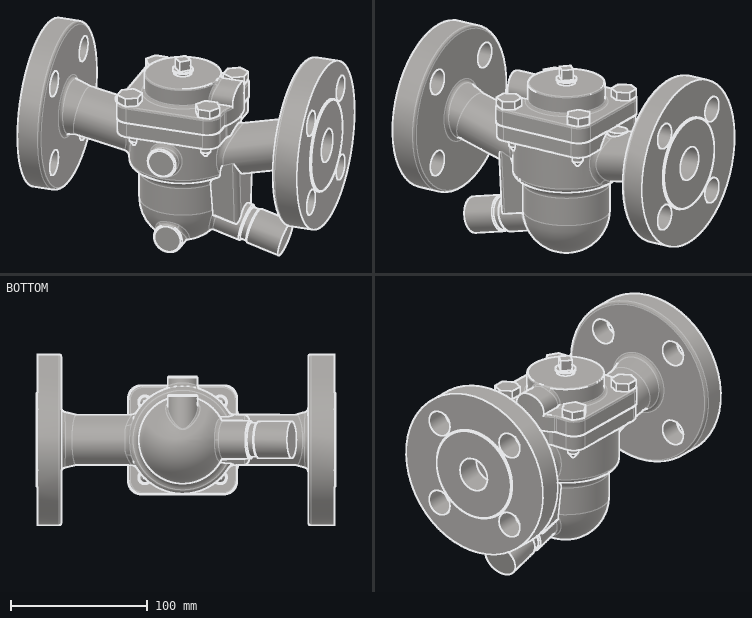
import cadquery as cq
import math


seam_tolerance = 0.001

flange_dia = 125
flange_edge_round = 2
flange_hole_dia = 19
flange_hole_circle = 90
raised_face_dia = 69
raised_face_height = 1
raised_face_chamfer = 0.8
bore_dia = 25
bore_depth = 20
inlet_face_x = -107
outlet_face_x = 112
inlet_flange_thickness = 18.6
outlet_flange_thickness = 20.4

neck_dia = 37
flare_dia = 42
flare_root_round = 3
neck_body_round = 5
inlet_slope = 10
outlet_slope = 15
inlet_flare_length = 10.8
outlet_flare_length = 12
outlet_axis_start = 94.3

upper_radius = 39.3
lower_radius = 32
shoulder_top_z = -27.5
shoulder_bottom_z = -37.5
shoulder_round_share = 0.4
dome_center_z = -59

body_flange_bottom_z = 1
split_z = 13
cover_top_z = 26
cover_width = 80
body_flange_width = 79
corner_radius = 10
plate_edge_round = 1.2
lobe_half_width = 22
cover_lobe_radius = 45
body_lobe_radius = 42.7
lobe_side_round = 4

cap_dia = 56.5
cap_top_z = 40.7
cap_edge_round = 0.8
cap_root_round = 2
screen_boss_dia = 25
screen_boss_drop = 0.7
stem_collar_dia = 13.2
stem_lip_dia = 15
stem_lip_bottom_z = 43
stem_lip_top_z = 44
stem_square_side = 8.5
stem_top_z = 52

head_offset = 30.3
head_width = 16
head_height = 6.3
bolt_dia = 8
bolt_seat_dia = 10
bolt_seat_z = -0.7
bolt_tip_dia = 2
bolt_offset = 27.5
bolt_straight_end_z = -5.6
bolt_tip_z = -9.6

plug_dia = 22
plug_edge_chamfer = 1
plug_root_round = 2.5
upper_plug_z = -12
upper_plug_face_y = -46.5
drain_plug_z = -79
drain_plug_face_y = -33

stub_slope = 15
stub_dia = 28
stub_root_round = 3
stub_length = 52
groove_dia = 25
groove_end = 56.5
groove_flank_chamfer = 1
drain_pipe_dia = 27
drain_pipe_end = 82.5

rib_end_x = 48.9
rib_top_z = -15
rib_bottom_z = -68.7
rib_top_half_width = 18.3
rib_bottom_half_width = 14
rib_corner_round = 4

tab_width = 12.8
tab_end_x = -52
tab_thickness = 4


def rod(dia, start, end, origin, direction):
    """Cylinder along a direction, between two distances from the origin."""
    axis = cq.Vector(*direction).normalized()
    base = cq.Vector(*origin) + axis * start
    return cq.Workplane(obj=cq.Solid.makeCylinder(dia / 2, end - start, base, axis))


def disc(dia, bottom_z, top_z):
    return cq.Workplane("XY").workplane(offset=bottom_z).circle(dia / 2).extrude(top_z - bottom_z)


def lies_on(edge, part):
    """True if the middle of the edge lies on the surface of the part."""
    middle = cq.Vertex.makeVertex(*edge.positionAt(0.5).toTuple())
    return any(middle.distance(shell) < seam_tolerance for shell in part.val().Shells())


def blend(base, part, radius):
    """Join a part to the base and round the seam between them."""
    joined = base.union(part)
    seam = [edge for edge in joined.edges().vals() if lies_on(edge, base) and lies_on(edge, part)]
    return joined.newObject(seam).fillet(radius)


def pipe_flange(side, face_x, thickness):
    """Drilled flange with a raised face; side is -1 for the inlet and +1 for the outlet."""
    disc_length = thickness - raised_face_height
    inner_x = face_x - side * thickness
    outwards = (side, 0, 0)
    inner_face, outer_face = ("<X", ">X") if side > 0 else (">X", "<X")
    flange = rod(flange_dia, 0, disc_length, (inner_x, 0, 0), outwards)
    flange = flange.faces(inner_face).edges().fillet(flange_edge_round)
    raised_face = rod(raised_face_dia, disc_length / 2, thickness, (inner_x, 0, 0), outwards)
    flange = flange.union(raised_face.faces(outer_face).edges().chamfer(raised_face_chamfer))
    hole_offset = flange_hole_circle / 2 * math.sin(math.radians(45))
    for y in (-hole_offset, hole_offset):
        for z in (-hole_offset, hole_offset):
            flange = flange.cut(rod(flange_hole_dia, 0, thickness, (inner_x, y, z), outwards))
    return flange


def flange_bore(side, face_x):
    return rod(bore_dia, 0, bore_depth, (face_x, 0, 0), (-side, 0, 0))


def neck_direction(side, slope):
    """Unit direction of a neck, from its flange down to the body axis."""
    angle = math.radians(slope)
    return cq.Vector(-side * math.cos(angle), 0, -math.sin(angle))


def neck_pipe(side, axis_start_x, slope, flare_length):
    direction = neck_direction(side, slope)
    return rod(neck_dia, flare_length, abs(axis_start_x), (axis_start_x, 0, 0), direction.toTuple())


def neck_flare(side, flange_inner_x, axis_start_x, slope, flare_length):
    """Tapered transition from the flange to the sloping neck."""
    direction = neck_direction(side, slope)
    neck_start = cq.Vector(axis_start_x, 0, 0) + direction * flare_length
    wide = cq.Wire.makeCircle(flare_dia / 2, cq.Vector(flange_inner_x, 0, 0), cq.Vector(-side, 0, 0))
    narrow = cq.Wire.makeCircle(neck_dia / 2, neck_start, direction)
    return cq.Workplane(obj=cq.Solid.makeLoft([wide, narrow], True))


def body_of_revolution():
    """Cylinder, S-shaped shoulder, smaller cylinder and hemispherical dome."""
    drop = shoulder_top_z - shoulder_bottom_z
    step = upper_radius - lower_radius
    turn = 2 * math.atan2(step, drop)
    convex_radius = shoulder_round_share * drop / math.sin(turn)
    joint = (
        upper_radius - convex_radius * (1 - math.cos(turn)),
        shoulder_top_z - convex_radius * math.sin(turn),
    )
    diagonal = math.sin(math.radians(45)) * lower_radius
    profile = (
        cq.Workplane("XZ")
        .moveTo(0, split_z)
        .lineTo(upper_radius, split_z)
        .lineTo(upper_radius, shoulder_top_z)
        .tangentArcPoint(joint, relative=False)
        .tangentArcPoint((lower_radius, shoulder_bottom_z), relative=False)
        .lineTo(lower_radius, dome_center_z)
        .threePointArc((diagonal, dome_center_z - diagonal), (0, dome_center_z - lower_radius))
        .close()
    )
    return profile.revolve(360, (0, 0, 0), (0, 1, 0))


def square_plate(width, lobe_radius, bottom_z, top_z):
    """Rounded square plate with a round lobe on its +X side."""
    height = top_z - bottom_z
    level = cq.Workplane("XY").workplane(offset=bottom_z)
    plate = level.rect(width, width).extrude(height).edges("|Z").fillet(corner_radius)
    lobe_band = level.center(lobe_radius / 2, 0).rect(lobe_radius, 2 * lobe_half_width).extrude(height)
    lobe = level.circle(lobe_radius).extrude(height).intersect(lobe_band)
    plate = plate.union(lobe)
    reach = width / 2 + 1
    sides = cq.selectors.BoxSelector((width / 2 - 1, -reach / 1.5, bottom_z), (reach, reach / 1.5, top_z))
    return plate.edges("|Z").edges(sides).fillet(lobe_side_round)


def body_flange():
    plate = square_plate(body_flange_width, body_lobe_radius, body_flange_bottom_z, split_z)
    return plate.faces("<Z").edges().fillet(plate_edge_round)


def cover():
    """Cover plate with the round cap and the screen holder boss."""
    plate = square_plate(cover_width, cover_lobe_radius, split_z, cover_top_z)
    plate = plate.faces(">Z").edges().fillet(plate_edge_round)
    screen_axis_z = cap_top_z - screen_boss_drop - screen_boss_dia / 2
    screen_boss = rod(screen_boss_dia, 0, cover_lobe_radius + 1, (0, 0, screen_axis_z), (1, 0, 0))
    screen_boss = screen_boss.intersect(disc(2 * cover_lobe_radius, split_z, cap_top_z))
    cap = disc(cap_dia, split_z, cap_top_z)
    cap = cap.faces(">Z").edges().fillet(cap_edge_round)
    return blend(plate.union(screen_boss), cap, cap_root_round)


def stem():
    collar = disc(stem_collar_dia, cover_top_z, stem_lip_bottom_z)
    lip = disc(stem_lip_dia, stem_lip_bottom_z, stem_lip_top_z)
    square = (
        cq.Workplane("XY")
        .workplane(offset=stem_lip_bottom_z)
        .transformed(rotate=(0, 0, 45))
        .rect(stem_square_side, stem_square_side)
        .extrude(stem_top_z - stem_lip_bottom_z)
    )
    return collar.union(lip).union(square)


def bolt(x_side, y_side):
    """Hexagon head on the cover, with a seat and a pointed bolt end below the body flange."""
    corner_turn = 90 if x_side * y_side < 0 else 0
    head = (
        cq.Workplane("XY")
        .workplane(offset=cover_top_z)
        .center(x_side * head_offset, y_side * head_offset)
        .transformed(rotate=(0, 0, corner_turn))
        .polygon(6, head_width, circumscribed=True)
        .extrude(head_height)
    )
    end = (
        cq.Workplane("XZ")
        .moveTo(0, split_z)
        .lineTo(bolt_dia / 2, split_z)
        .lineTo(bolt_dia / 2, bolt_straight_end_z)
        .lineTo(bolt_tip_dia / 2, bolt_tip_z)
        .lineTo(0, bolt_tip_z)
        .close()
        .revolve(360, (0, 0, 0), (0, 1, 0))
        .translate((x_side * bolt_offset, y_side * bolt_offset, 0))
    )
    seat = disc(bolt_seat_dia, bolt_seat_z, split_z)
    return head.union(end).union(seat.translate((x_side * bolt_offset, y_side * bolt_offset, 0)))


def front_plug(z, face_y):
    plug = rod(plug_dia, 0, -face_y, (0, 0, z), (0, -1, 0))
    return plug.faces("<Y").edges().chamfer(plug_edge_chamfer)


def drain_stub():
    """Stub, sealing groove and pipe end on one axis from the dome centre."""
    angle = math.radians(stub_slope)
    direction = (math.cos(angle), 0, -math.sin(angle))
    origin = (0, 0, dome_center_z)
    stub = rod(stub_dia, 0, stub_length, origin, direction)
    stub = stub.faces(">X").edges().chamfer(groove_flank_chamfer)
    groove = rod(groove_dia, 0, groove_end, origin, direction)
    pipe = rod(drain_pipe_dia, groove_end, drain_pipe_end, origin, direction)
    pipe = pipe.faces("<X").edges().chamfer(groove_flank_chamfer)
    return stub.union(groove).union(pipe)


def rib():
    """Tapered web, as wide as the neck at its top and as the stub at its bottom."""
    outline = [
        (-rib_top_half_width, rib_top_z),
        (rib_top_half_width, rib_top_z),
        (rib_bottom_half_width, rib_bottom_z),
        (-rib_bottom_half_width, rib_bottom_z),
    ]
    web = cq.Workplane("YZ").polyline(outline).close().extrude(rib_end_x)
    web = web.faces(">X").edges("not |Y").fillet(rib_corner_round)
    bottom_rise = rib_end_x * math.tan(math.radians(stub_slope))
    side_outline = [
        (0, rib_top_z),
        (rib_end_x, rib_top_z),
        (rib_end_x, rib_bottom_z),
        (0, rib_bottom_z + bottom_rise),
    ]
    side = cq.Workplane("XZ").polyline(side_outline).close().extrude(rib_top_half_width, both=True)
    return web.intersect(side)


def tab():
    center_x = tab_end_x + tab_width / 2
    bottom_z = split_z - tab_thickness
    level = cq.Workplane("XY").workplane(offset=bottom_z)
    bar = level.center(center_x / 2, 0).rect(-center_x, tab_width).extrude(tab_thickness)
    return bar.union(disc(tab_width, bottom_z, split_z).translate((center_x, 0, 0)))


inlet_inner_x = inlet_face_x + inlet_flange_thickness
outlet_inner_x = outlet_face_x - outlet_flange_thickness

body = body_of_revolution()
inlet_neck = neck_pipe(-1, inlet_inner_x, inlet_slope, inlet_flare_length)
outlet_neck = neck_pipe(1, outlet_axis_start, outlet_slope, outlet_flare_length)
body = blend(body, inlet_neck, neck_body_round)
body = blend(body, outlet_neck, neck_body_round)
body = blend(body, drain_stub(), stub_root_round)
body = blend(body, front_plug(upper_plug_z, upper_plug_face_y), plug_root_round)
body = blend(body, front_plug(drain_plug_z, drain_plug_face_y), plug_root_round)
body = body.union(rib()).union(tab()).union(body_flange())

body = body.union(cover()).union(stem())
for x_side in (-1, 1):
    for y_side in (-1, 1):
        body = body.union(bolt(x_side, y_side))

inlet_flare = neck_flare(-1, inlet_inner_x, inlet_inner_x, inlet_slope, inlet_flare_length)
inlet_flange = pipe_flange(-1, inlet_face_x, inlet_flange_thickness)
body = body.union(blend(inlet_flange, inlet_flare, flare_root_round))
body = body.cut(flange_bore(-1, inlet_face_x))

outlet_flare = neck_flare(1, outlet_inner_x, outlet_axis_start, outlet_slope, outlet_flare_length)
outlet_flange = pipe_flange(1, outlet_face_x, outlet_flange_thickness)
body = body.union(blend(outlet_flange, outlet_flare, flare_root_round))
body = body.cut(flange_bore(1, outlet_face_x))

result = body